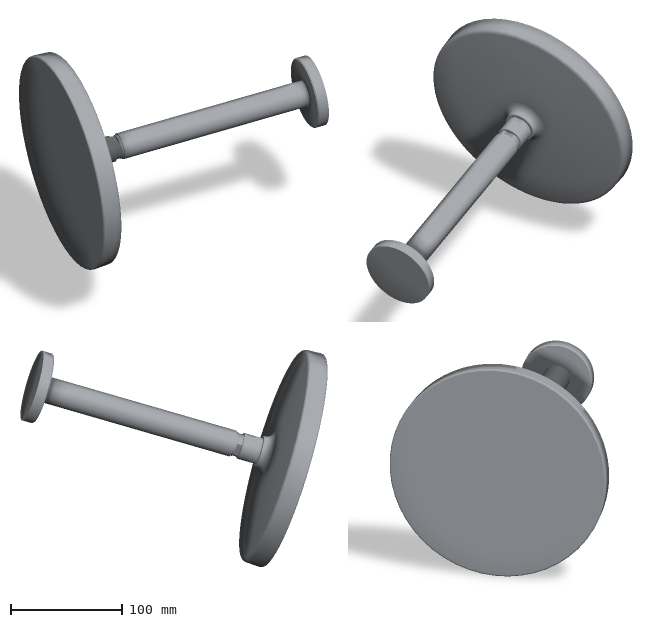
import cadquery as cq
import math

overall_length = 247.3

head_radius = 100.0
spray_face_radius = 98.4
front_edge_height = 2.0
rim_back_radius = 99.2
rim_fillet = 3.2

dome_start = 18.0
dome_top = 23.1
dome_mid_radius = 60.0
dome_mid = 21.5
flare_base_radius = 22.2
flare_top_radius = 14.4
flare_top = 30.4
flare_bulge = 1.5
selection_margin = 0.1

collar_radius = 14.4
collar_end = 32.0
joint_chamfer = 0.4
sleeve_radius = 12.0
sleeve_end = 49.7
notch_width = 6.4
notch_length = 5.6
notch_depth = 0.8
sleeve_turn = 5.0

stub_radius = 10.4
stub_lip_radius = 11.0
stub_lip_start = 54.5
stub_lip_fillet = 0.4
flat_half_spacing = 8.6

arm_radius = 12.05
arm_start = 57.0
flange_radius = 32.6
flange_thickness = 10.4
flange_chamfer = 1.0
clearance_radius = 12.8
clearance_depth = 2.0
flange_start = overall_length - flange_thickness
recess_floor = flange_start + clearance_depth


def turned(radius, start, end):
    """Cylinder on the Y axis between two Y stations."""
    return cq.Workplane("XZ", origin=(0, start, 0)).circle(radius).extrude(start - end)


def shower_head():
    """Revolved disc with a rounded front edge, domed back and flared neck."""
    flare_mid_radius = (flare_base_radius + flare_top_radius) / 2 - flare_bulge
    flare_mid = (dome_top + flare_top) / 2 - flare_bulge
    edge_inset = head_radius - spray_face_radius
    edge_mid_radius = spray_face_radius + edge_inset * math.sin(math.pi / 4)
    edge_mid = front_edge_height * (1 - math.cos(math.pi / 4))
    profile = (
        cq.Workplane("XY")
        .lineTo(spray_face_radius, 0)
        .threePointArc((edge_mid_radius, edge_mid), (head_radius, front_edge_height))
        .lineTo(rim_back_radius, dome_start)
        .threePointArc((dome_mid_radius, dome_mid), (flare_base_radius, dome_top))
        .threePointArc((flare_mid_radius, flare_mid), (flare_top_radius, flare_top))
        .lineTo(0, flare_top)
        .close()
    )
    disc = profile.revolve(360, (0, 0, 0), (0, 1, 0))
    rim_corner = cq.selectors.BoxSelector(
        (-head_radius, dome_start - selection_margin, -head_radius),
        (head_radius, dome_start + selection_margin, head_radius),
        boundingbox=True,
    )
    return disc.edges(rim_corner).fillet(rim_fillet)


def collar():
    """Ring at the top of the flare, with a chamfered outer edge."""
    return turned(collar_radius, flare_top, collar_end).faces(">Y").chamfer(joint_chamfer)


def sleeve():
    """Swivel sleeve with a shallow notch next to the collar, turned about Y."""
    notch = cq.Workplane("XY").box(
        notch_width, notch_length, notch_depth, centered=(True, False, False)
    ).translate((0, collar_end, sleeve_radius - notch_depth))
    barrel = turned(sleeve_radius, collar_end, sleeve_end).faces("<Y or >Y").chamfer(joint_chamfer)
    body = barrel.cut(notch)
    return body.rotate((0, 0, 0), (0, 1, 0), -sleeve_turn)


def stub():
    """Stub between sleeve and arm, with wrench flats facing +Z and -Z."""
    flats = cq.Workplane("XY").box(
        2 * stub_radius,
        stub_lip_start - sleeve_end,
        2 * flat_half_spacing,
        centered=(True, False, True),
    ).translate((0, sleeve_end, 0))
    flatted = turned(stub_radius, sleeve_end, stub_lip_start).intersect(flats)
    lip = turned(stub_lip_radius, stub_lip_start, arm_start).faces("<Y").fillet(stub_lip_fillet)
    return flatted.union(lip)


def wall_flange():
    """Round flange, chamfered on the arm side, with a shallow clearance recess around the arm."""
    disc = turned(flange_radius, flange_start, overall_length)
    recess = turned(clearance_radius, flange_start, recess_floor)
    return disc.faces("<Y").chamfer(flange_chamfer).cut(recess)


result = (
    shower_head()
    .union(collar())
    .union(sleeve())
    .union(stub())
    .union(turned(arm_radius, arm_start, recess_floor))
    .union(wall_flange())
)